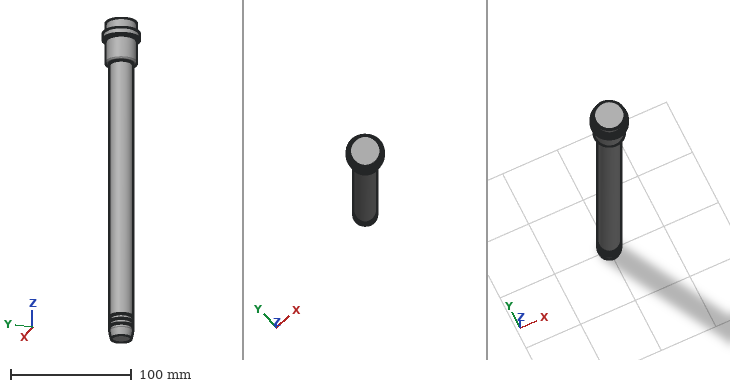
import cadquery as cq

length = 281.0

shaft_diameter = 20.0
shoulder_diameter = 26.0
flange_diameter = 31.0
tip_diameter = 17.0

spigot_height = 9.0
flange_thickness = 6.2
shoulder_length = 21.0
tip_height = 7.0

flange_chamfer = 0.5
spigot_chamfer = 0.42
shoulder_fillet = 1.5
tip_arc_radius = 42.2

relief_width = 0.8
relief_depth = 0.42

groove_count = 3
groove_pitch = 4.2
first_groove_height = 10.0
groove_width = 1.0
groove_depth = 0.5

flange_top = length - spigot_height
flange_bottom = flange_top - flange_thickness
shoulder_bottom = flange_bottom - shoulder_length


def cylinder(diameter, bottom, top):
    """Solid cylinder on the Z axis between two levels."""
    return cq.Workplane("XY").workplane(offset=bottom).circle(diameter / 2).extrude(top - bottom)


def revolve_about_axis(profile):
    """Turn a closed radius-height profile around the Z axis."""
    return profile.revolve(360, (0, 0, 0), (0, 1, 0))


def rounded_tip():
    """Bulged nose that narrows from the shaft to the flat end."""
    profile = (
        cq.Workplane("XZ")
        .lineTo(tip_diameter / 2, 0)
        .radiusArc((shaft_diameter / 2, tip_height), -tip_arc_radius)
        .lineTo(0, tip_height)
        .close()
    )
    return revolve_about_axis(profile)


def v_groove(diameter, height, width, depth):
    """V-shaped ring to cut from a cylinder, centred on the given height."""
    radius = diameter / 2
    profile = (
        cq.Workplane("XZ")
        .moveTo(radius, height - width / 2)
        .lineTo(radius - depth, height)
        .lineTo(radius, height + width / 2)
        .close()
    )
    return revolve_about_axis(profile)


shaft = rounded_tip().union(cylinder(shaft_diameter, tip_height, shoulder_bottom))
for index in range(groove_count):
    groove_height = first_groove_height + index * groove_pitch
    shaft = shaft.cut(v_groove(shaft_diameter, groove_height, groove_width, groove_depth))
shaft_relief_height = shoulder_bottom - relief_width / 2
shaft = shaft.cut(v_groove(shaft_diameter, shaft_relief_height, relief_width, relief_depth))

shoulder = cylinder(shoulder_diameter, shoulder_bottom, length)
shoulder = shoulder.faces("<Z").edges().fillet(shoulder_fillet)
shoulder = shoulder.faces(">Z").edges().chamfer(spigot_chamfer)
for relief_height in (flange_bottom - relief_width / 2, flange_top + relief_width / 2):
    shoulder = shoulder.cut(v_groove(shoulder_diameter, relief_height, relief_width, relief_depth))

flange = cylinder(flange_diameter, flange_bottom, flange_top)
flange = flange.faces("<Z or >Z").edges().chamfer(flange_chamfer)

result = shaft.union(shoulder).union(flange)